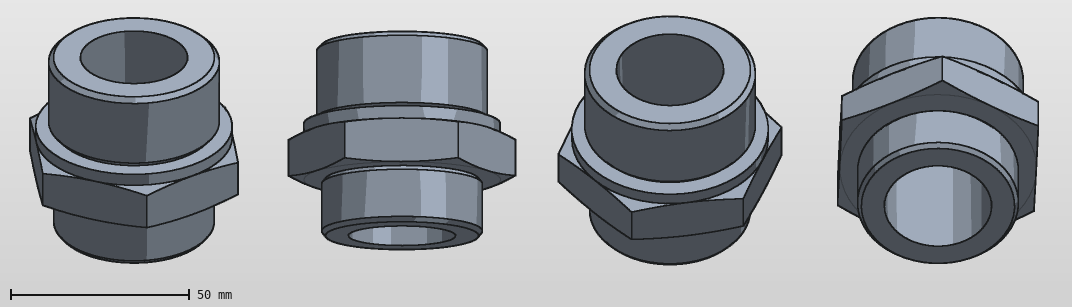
import cadquery as cq
import math

hex_across_corners = 63.5
hex_across_flats = hex_across_corners * math.cos(math.radians(30))
hex_corner_drop = 1.1

lower_height = 16.0
hex_height = 12.4
collar_height = 3.5
upper_height = 22.1
hex_bottom = lower_height
hex_top = hex_bottom + hex_height
collar_top = hex_top + collar_height
total_height = collar_top + upper_height

bore_diameter = 30.0
lower_diameter = 45.0
upper_diameter = 47.8
collar_diameter = hex_across_flats

lower_chamfer_depth = 1.1
lower_chamfer_height = 1.35
lower_neck_depth = 1.1
lower_neck_height = 1.3
upper_chamfer = 1.4
upper_neck_depth = 1.4
upper_neck_height = 1.6


def revolve_profile(points):
    """Revolve a closed (radius, height) outline around the Z axis."""
    return cq.Workplane("XZ").polyline(points).close().revolve(360, (0, 0), (0, 1))


def make_hexagon():
    """Hexagon with both ends chamfered by a cone that starts at the flats."""
    prism = (
        cq.Workplane("XY", origin=(0, 0, hex_bottom))
        .polygon(6, hex_across_corners)
        .extrude(hex_height)
        .rotate((0, 0, 0), (0, 0, 1), 90)
    )
    flat_radius = hex_across_flats / 2
    corner_radius = hex_across_corners / 2
    envelope = revolve_profile([
        (0, hex_bottom),
        (flat_radius, hex_bottom),
        (corner_radius, hex_bottom + hex_corner_drop),
        (corner_radius, hex_top - hex_corner_drop),
        (flat_radius, hex_top),
        (0, hex_top),
    ])
    return prism.intersect(envelope)


def make_lower_spigot():
    """Lower cylinder with a chamfered end and a neck tapering into the hexagon."""
    radius = lower_diameter / 2
    return revolve_profile([
        (0, 0),
        (radius - lower_chamfer_depth, 0),
        (radius, lower_chamfer_height),
        (radius, hex_bottom - lower_neck_height),
        (radius - lower_neck_depth, hex_bottom),
        (0, hex_bottom),
    ])


def make_upper_spigot():
    """Upper cylinder with a neck tapering into the collar and a chamfered end."""
    radius = upper_diameter / 2
    return revolve_profile([
        (0, collar_top),
        (radius - upper_neck_depth, collar_top),
        (radius, collar_top + upper_neck_height),
        (radius, total_height - upper_chamfer),
        (radius - upper_chamfer, total_height),
        (0, total_height),
    ])


collar = (
    cq.Workplane("XY", origin=(0, 0, hex_top))
    .circle(collar_diameter / 2)
    .extrude(collar_height)
)
bore = cq.Workplane("XY").circle(bore_diameter / 2).extrude(total_height)

result = (
    make_hexagon()
    .union(collar)
    .union(make_lower_spigot())
    .union(make_upper_spigot())
    .cut(bore)
)